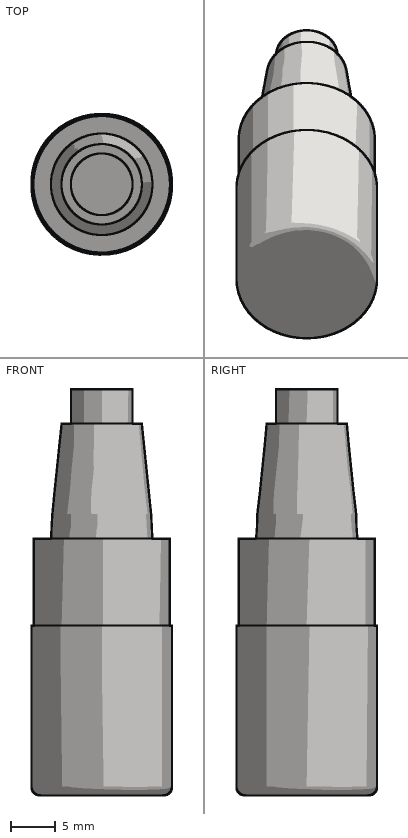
import cadquery as cq

TOTAL_HEIGHT = 46.1
BASE_TOP = 19.25
SHOULDER = 29.15
TAPER_START = 31.9
TAPER_TOP = 42.2

BASE_RADIUS = 16.0 / 2
COLLAR_RADIUS = 7.75
NECK_BOTTOM_RADIUS = 5.75
TAPER_BOTTOM_RADIUS = 5.62
TAPER_TOP_RADIUS = 4.55
TIP_RADIUS = 3.5

BOTTOM_FILLET = 1.0


def make_base():
    """Solid cylindrical base with a rounded bottom edge."""
    cylinder = cq.Workplane("XY").circle(BASE_RADIUS).extrude(BASE_TOP)
    return cylinder.faces("<Z").edges().fillet(BOTTOM_FILLET)


def make_nozzle():
    """Turned upper body: collar, neck, taper and cylindrical tip, resting on the base."""
    profile = [
        (0, BASE_TOP),
        (COLLAR_RADIUS, BASE_TOP),
        (COLLAR_RADIUS, SHOULDER),
        (NECK_BOTTOM_RADIUS, SHOULDER),
        (TAPER_BOTTOM_RADIUS, TAPER_START),
        (TAPER_TOP_RADIUS, TAPER_TOP),
        (TIP_RADIUS, TAPER_TOP),
        (TIP_RADIUS, TOTAL_HEIGHT),
        (0, TOTAL_HEIGHT),
    ]
    return cq.Workplane("XZ").polyline(profile).close().revolve(360, (0, 0), (0, 1))


base = make_base()
nozzle = make_nozzle()

result = cq.Compound.makeCompound([base.val(), nozzle.val()])